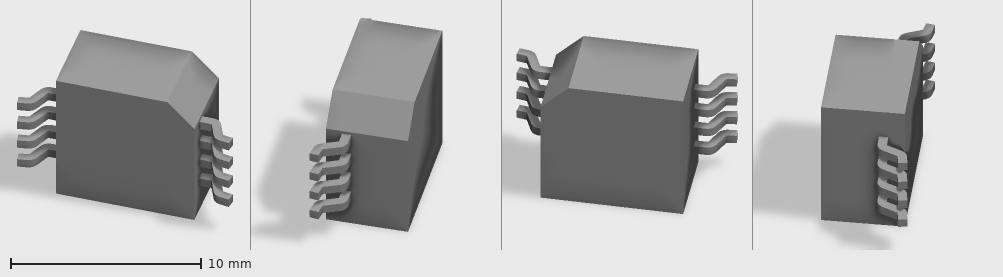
import cadquery as cq
import math

HOUSING_WIDTH = 7.62
HOUSING_HEIGHT = 7.62
HOUSING_DEPTH = 4.45
CORNER_CHAMFER = 1.49

LEADS_PER_SIDE = 4
LEAD_PITCH = 1.27
LEAD_SIZE = 0.5
OVERALL_WIDTH = 11.79
OVERALL_DEPTH = 4.83
INNER_BEND_RADIUS = 0.07
LEG_LENGTH = 0.88
LEG_ANGLE = math.radians(66)
FOOT_LENGTH = 0.53
FOOT_ANGLE = math.radians(9)

HALF_WIDTH = HOUSING_WIDTH / 2
HALF_LEAD = LEAD_SIZE / 2
BEND_RADIUS = INNER_BEND_RADIUS + HALF_LEAD
FOOT_TIP_X = OVERALL_WIDTH / 2 - HALF_LEAD * math.sin(FOOT_ANGLE)
FOOT_TIP_Y = HOUSING_DEPTH - OVERALL_DEPTH + HALF_LEAD * math.cos(FOOT_ANGLE)


def make_housing():
    """Block with its +X, +Z corner cut off along the full depth."""
    return (
        cq.Workplane("XY")
        .box(HOUSING_WIDTH, HOUSING_DEPTH, HOUSING_HEIGHT, centered=(True, False, True))
        .edges(">X and >Z")
        .chamfer(CORNER_CHAMFER)
    )


def step_back(point, length, angle):
    """Point reached by going back along a straight stretch that slopes down at the angle."""
    x, y = point
    return (x - length * math.cos(angle), y + length * math.sin(angle))


def lead_centreline():
    """Centreline of a +X lead: shoulder, bend down, leg, bend out, foot."""
    foot_tip = (FOOT_TIP_X, FOOT_TIP_Y)
    foot_start = step_back(foot_tip, FOOT_LENGTH, FOOT_ANGLE)
    leg_end = (
        foot_start[0] - BEND_RADIUS * (math.sin(LEG_ANGLE) - math.sin(FOOT_ANGLE)),
        foot_start[1] + BEND_RADIUS * (math.cos(FOOT_ANGLE) - math.cos(LEG_ANGLE)),
    )
    leg_start = step_back(leg_end, LEG_LENGTH, LEG_ANGLE)
    shoulder_end = (
        leg_start[0] - BEND_RADIUS * math.sin(LEG_ANGLE),
        leg_start[1] + BEND_RADIUS * (1 - math.cos(LEG_ANGLE)),
    )
    shoulder_start = (HALF_WIDTH, shoulder_end[1])
    path = (
        cq.Workplane("XY")
        .moveTo(*shoulder_start)
        .lineTo(*shoulder_end)
        .tangentArcPoint(leg_start, relative=False)
        .lineTo(*leg_end)
        .tangentArcPoint(foot_start, relative=False)
        .lineTo(*foot_tip)
    )
    return path, shoulder_start


def make_lead(side, z):
    """One lead at height z, on the +X (side = 1) or -X (side = -1) face of the housing."""
    path, (start_x, start_y) = lead_centreline()
    lead = (
        cq.Workplane("YZ", origin=(start_x, start_y, 0))
        .rect(LEAD_SIZE, LEAD_SIZE)
        .sweep(path)
    )
    if side < 0:
        lead = lead.mirror("YZ")
    return lead.translate((0, 0, z))


housing = make_housing()

leads = []
for side in (1, -1):
    for index in range(LEADS_PER_SIDE):
        lead_z = (index - (LEADS_PER_SIDE - 1) / 2) * LEAD_PITCH
        leads.append(make_lead(side, lead_z).val())

result = cq.Compound.makeCompound([housing.val(), *leads])